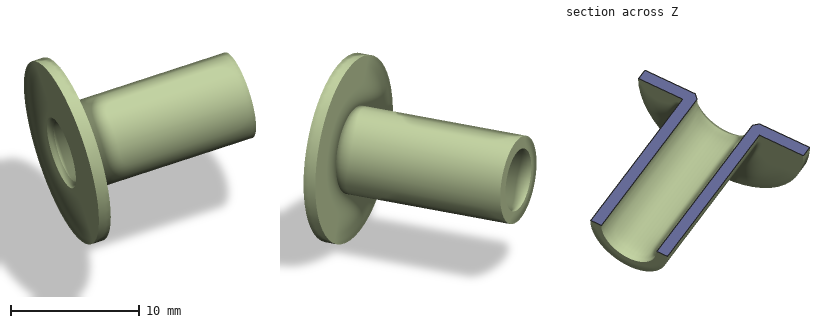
import cadquery as cq

total_length = 15.0
flange_diameter = 15.0
flange_thickness = 1.0
sleeve_diameter = 7.0
bore_diameter = 5.0
bore_chamfer = 0.4


def cylinder_along_y(diameter, length):
    """Solid cylinder from the flange face (Y = 0) toward +Y."""
    return cq.Workplane("XZ").circle(diameter / 2).extrude(-length)


flange = cylinder_along_y(flange_diameter, flange_thickness)
sleeve = cylinder_along_y(sleeve_diameter, total_length)
bore = cylinder_along_y(bore_diameter, total_length)

body = flange.union(sleeve).cut(bore)

bore_edge = cq.selectors.RadiusNthSelector(0)
result = body.faces("<Y").edges(bore_edge).chamfer(bore_chamfer)